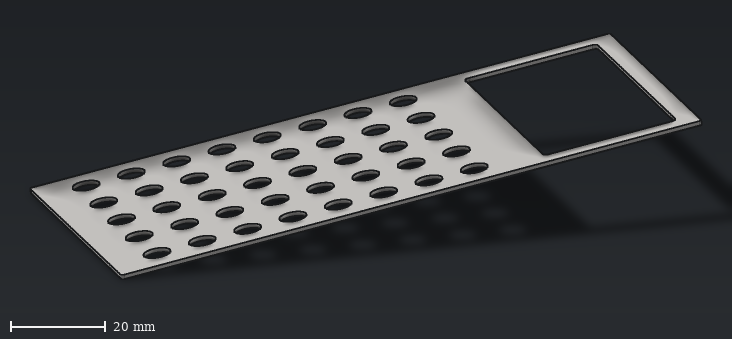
import cadquery as cq

plate_width = 65.8
plate_length = 130.3
plate_thickness = 1.0
plate_corner_radius = 0.6
tilt_angle = 10

window_width = 57.3
window_length = 29.7
window_end_margin = 4.4
window_corner_radius = 1.0

hole_diameter = 5.8
hole_columns = 5
hole_rows = 8
grid_width = 50.8
grid_length = 71.2
column_pitch = grid_width / (hole_columns - 1)
row_pitch = grid_length / (hole_rows - 1)
first_row_margin = 10.4
grid_offset_x = -0.1


def rounded_plate(width, length, corner_radius):
    """Plate-thick rectangle centred on the origin with rounded corners."""
    return (
        cq.Workplane("XY")
        .box(width, length, plate_thickness)
        .edges("|Z")
        .fillet(corner_radius)
    )


def window_cutter():
    center_y = plate_length / 2 - window_end_margin - window_length / 2
    cutter = rounded_plate(window_width, window_length, window_corner_radius)
    return cutter.translate((0, center_y, 0))


def hole_cutters():
    grid_center_y = -plate_length / 2 + first_row_margin + grid_length / 2
    return (
        cq.Workplane("XY")
        .center(grid_offset_x, grid_center_y)
        .rarray(column_pitch, row_pitch, hole_columns, hole_rows)
        .circle(hole_diameter / 2)
        .extrude(plate_thickness / 2, both=True)
    )


plate = rounded_plate(plate_width, plate_length, plate_corner_radius)
plate = plate.cut(window_cutter()).cut(hole_cutters())

result = plate.rotate((0, 0, 0), (1, 0, 0), tilt_angle)